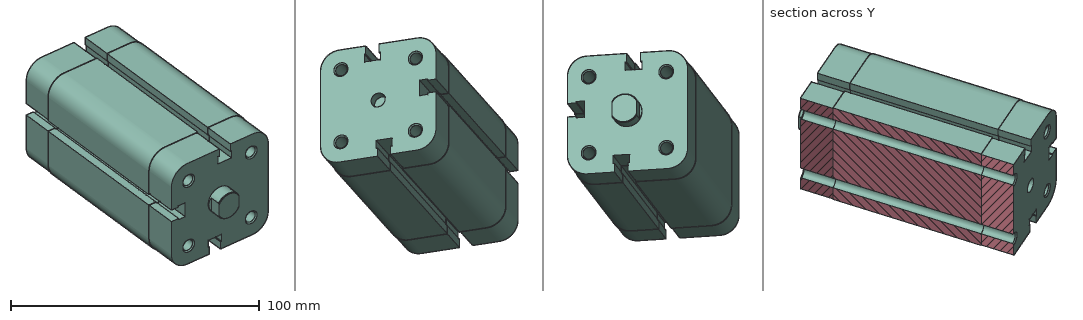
import cadquery as cq

total_length = 100.5
cap_length = 14.5
body_length = 94.6
barrel_length = body_length - 2 * cap_length
rod_length = total_length - body_length

profile_side = 50.0
corner_radius = 8.3
cap_inset = 0.25

slot_offset = 2.5
slot_mouth_width = 5.1
slot_mouth_depth = 3.6
slot_pocket_width = 6.3
slot_depth = 7.0
slot_turns = (0, 90, 180)

screw_spacing = 32.0
screw_hole_diameter = 4.9
screw_chamfer = 0.55

centre_hole_diameter = 6.0
centre_hole_depth = 4.0

rod_diameter = 12.1
rod_chamfer = 0.3
flats_width = 10.2
flats_start = 0.9
flats_shoulder_run = 0.5


def slot_cutter(x_start, length, inset):
    """T-slot sunk into a top face lowered by inset, and widened by inset on each side."""
    face_z = profile_side / 2 - inset
    step_z = face_z - slot_mouth_depth
    floor_z = face_z - slot_depth
    mouth_width = slot_mouth_width + 2 * inset
    pocket_width = slot_pocket_width + 2 * inset
    mouth = cq.Workplane("XY").box(length, mouth_width, face_z - floor_z, centered=(False, True, False))
    pocket = cq.Workplane("XY").box(length, pocket_width, step_z - floor_z, centered=(False, True, False))
    return mouth.union(pocket).translate((x_start, slot_offset, floor_z))


def profile_block(x_start, length, inset):
    """Rounded square bar with three T-slots and four screw holes."""
    side = profile_side - 2 * inset
    block = (
        cq.Workplane("YZ")
        .workplane(offset=x_start)
        .rect(side, side)
        .extrude(length)
        .edges("|X")
        .fillet(corner_radius - inset)
    )
    for turn in slot_turns:
        block = block.cut(slot_cutter(x_start, length, inset).rotate((0, 0, 0), (1, 0, 0), turn))
    screw_holes = (
        cq.Workplane("YZ")
        .workplane(offset=x_start)
        .rect(screw_spacing, screw_spacing, forConstruction=True)
        .vertices()
        .circle(screw_hole_diameter / 2)
        .extrude(length)
    )
    return block.cut(screw_holes)


def end_cap(x_start, outer_face):
    """Cap with its screw holes chamfered on the outer face."""
    cap = profile_block(x_start, cap_length, cap_inset)
    hole_rims = cap.faces(outer_face).edges(cq.selectors.RadiusNthSelector(0))
    return hole_rims.chamfer(screw_chamfer)


def make_rod():
    """Round rod end on the front cap, with two flats that end in sloping shoulders."""
    rod = (
        cq.Workplane("YZ")
        .workplane(offset=body_length)
        .circle(rod_diameter / 2)
        .extrude(rod_length)
        .faces(">X")
        .chamfer(rod_chamfer)
    )
    flat_y = flats_width / 2
    rim_y = rod_diameter / 2
    flat_x = body_length + flats_start
    for side in (1, -1):
        flat = (
            cq.Workplane("XY")
            .moveTo(flat_x, side * flat_y)
            .lineTo(total_length, side * flat_y)
            .lineTo(total_length, side * rim_y)
            .lineTo(flat_x - flats_shoulder_run, side * rim_y)
            .close()
            .extrude(rod_diameter / 2, both=True)
        )
        rod = rod.cut(flat)
    return rod


centre_hole = cq.Workplane("YZ").circle(centre_hole_diameter / 2).extrude(centre_hole_depth)

rear_cap = end_cap(0, "<X").cut(centre_hole)
barrel = profile_block(cap_length, barrel_length, 0)
front_cap = end_cap(cap_length + barrel_length, ">X")
rod = make_rod()

result = cq.Compound.makeCompound([rear_cap.val(), barrel.val(), front_cap.val(), rod.val()])